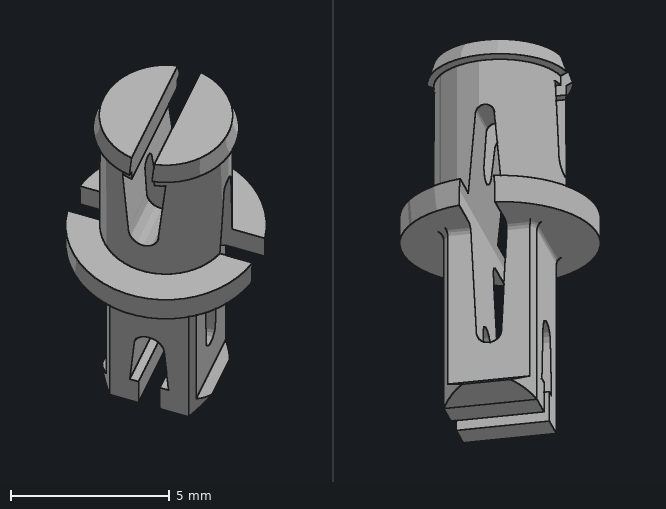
import cadquery as cq
import math

total_height = 12.34
flange_bottom = 6.18
flange_top = 7.1
head_bottom = 11.64
head_rim = 11.74
barb_tip_height = 0.53
barb_root_height = 0.75

flange_radius = 6.35 / 2
barrel_radius = 2.1
head_rim_radius = 2.31
head_top_radius = 2.11

shank_half = 1.52
flat_half = 1.33
shank_round_radius = math.hypot(shank_half, flat_half)
barb_tip_reach = 1.86
root_fillet = 0.3

slot_end_radius = 0.5
upper_lip_height = 11.32
upper_lip_half = 0.73
upper_mouth_half = 0.38
upper_end_height = 8.33
lower_lip_height = 1.02
lower_lip_half = 0.65
lower_mouth_half = 0.36
lower_end_height = 3.28

waist_half = 0.58
waist_top = 6.73
waist_bottom = 5.9
long_top_height = 10.1
long_top_radius = 0.31
long_bottom_height = 2.06
long_bottom_radius = 0.41

through = 2 * flange_radius + 0.25


def make_shank():
    square = (
        cq.Workplane("XY")
        .workplane(offset=barb_root_height)
        .rect(2 * shank_half, 2 * shank_half)
        .extrude(flange_bottom - barb_root_height)
    )
    barbs = (
        cq.Workplane("XZ")
        .moveTo(-flat_half, 0)
        .lineTo(flat_half, 0)
        .lineTo(barb_tip_reach, barb_tip_height)
        .lineTo(shank_half, barb_root_height)
        .lineTo(-shank_half, barb_root_height)
        .lineTo(-barb_tip_reach, barb_tip_height)
        .close()
        .extrude(shank_half, both=True)
    )
    envelope = cq.Workplane("XY").circle(shank_round_radius).extrude(flange_bottom)
    return square.union(barbs).intersect(envelope)


def make_body():
    """Shank and flange with a root fillet, then barrel and head."""
    flange = (
        cq.Workplane("XY")
        .workplane(offset=flange_bottom)
        .circle(flange_radius)
        .extrude(flange_top - flange_bottom)
    )
    near_root = cq.selectors.BoxSelector(
        (-barrel_radius, -barrel_radius, flange_bottom - root_fillet),
        (barrel_radius, barrel_radius, flange_bottom + root_fillet),
    )
    flange_rim = cq.selectors.RadiusNthSelector(-1)
    lower = make_shank().union(flange).edges(near_root - flange_rim).fillet(root_fillet)
    upper = (
        cq.Workplane("XZ")
        .moveTo(0, flange_bottom)
        .lineTo(barrel_radius, flange_bottom)
        .lineTo(barrel_radius, head_bottom)
        .lineTo(head_rim_radius, head_rim)
        .lineTo(head_top_radius, total_height)
        .lineTo(0, total_height)
        .close()
        .revolve(360, (0, 0, 0), (0, 1, 0))
    )
    return lower.union(upper)


def snap_slot(open_height, mouth_half, lip_height, lip_half, end_height):
    """Slot through Y, open at open_height and rounded at end_height."""
    toward_mouth = math.copysign(1, open_height - end_height)
    arc_height = end_height + toward_mouth * slot_end_radius
    return (
        cq.Workplane("XZ")
        .moveTo(-mouth_half, open_height)
        .lineTo(-mouth_half, lip_height)
        .lineTo(-lip_half, lip_height)
        .lineTo(-slot_end_radius, arc_height)
        .threePointArc((0, end_height), (slot_end_radius, arc_height))
        .lineTo(lip_half, lip_height)
        .lineTo(mouth_half, lip_height)
        .lineTo(mouth_half, open_height)
        .close()
        .extrude(through, both=True)
    )


def long_slot():
    top_arc = long_top_height - long_top_radius
    bottom_arc = long_bottom_height + long_bottom_radius
    return (
        cq.Workplane("YZ")
        .moveTo(-waist_half, waist_bottom)
        .lineTo(-waist_half, waist_top)
        .lineTo(-long_top_radius, top_arc)
        .threePointArc((0, long_top_height), (long_top_radius, top_arc))
        .lineTo(waist_half, waist_top)
        .lineTo(waist_half, waist_bottom)
        .lineTo(long_bottom_radius, bottom_arc)
        .threePointArc((0, long_bottom_height), (-long_bottom_radius, bottom_arc))
        .close()
        .extrude(through, both=True)
    )


upper_slot = snap_slot(
    total_height, upper_mouth_half, upper_lip_height, upper_lip_half, upper_end_height
)
lower_slot = snap_slot(0, lower_mouth_half, lower_lip_height, lower_lip_half, lower_end_height)
result = make_body().cut(upper_slot).cut(lower_slot).cut(long_slot())